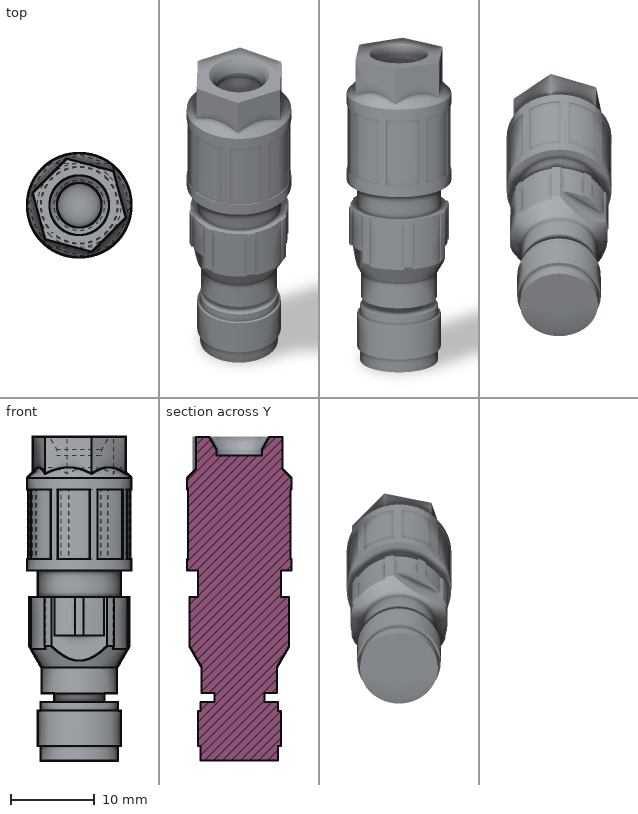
import cadquery as cq
import math

foot_top = 1.75
collar_top = 6.0
lip_top = 7.05
neck_top = 8.05
barrel_top = 11.15
block_bottom = 15.0
grip_top = 19.6
cap_bottom = 22.75
cap_shoulder = 33.83
total_height = 38.75

foot_radius = 4.65
collar_radius = 5.0
neck_radius = 3.02
barrel_radius = 4.55
grip_radius = 6.0
stem_radius = 5.0
cap_diameter = 12.5
cap_radius = cap_diameter / 2

flare_angle = 60.0
flat_distance = 5.0
grip_recess_radius = 5.8
grip_rib_angle = 9.8
side_recess_end = 46.4
block_width = 2 * math.sqrt(grip_recess_radius**2 - flat_distance**2)
grip_flare_top = barrel_top + (grip_radius - barrel_radius) * math.tan(math.radians(flare_angle))

pocket_count = 8
pocket_pitch = 360.0 / pocket_count
pocket_angle = 36.0
pocket_offset = -6.4
pocket_depth = 0.1
cap_band_height = 1.4
hex_across_flats = 10.0
hex_turn = 45.0
bore_radius = 2.67
bore_depth = 2.25
countersink_depth = 1.55
countersink_half_angle = 30.0
countersink_radius = bore_radius + countersink_depth * math.tan(math.radians(countersink_half_angle))

cut_margin = 0.4


def slab(width, depth, center_y, bottom, top):
    return (
        cq.Workplane("XY")
        .workplane(offset=bottom)
        .center(0, center_y)
        .rect(width, depth)
        .extrude(top - bottom)
    )


def ring_sector(inner_radius, start, end, bottom, top):
    """Cutter outside inner_radius, between two angles in degrees measured from +X."""
    outer_radius = cap_radius + cut_margin

    def point(radius, angle):
        turn = math.radians(angle)
        return (radius * math.cos(turn), radius * math.sin(turn))

    middle = (start + end) / 2
    return (
        cq.Workplane("XY")
        .workplane(offset=bottom)
        .moveTo(*point(inner_radius, start))
        .threePointArc(point(inner_radius, middle), point(inner_radius, end))
        .lineTo(*point(outer_radius, end))
        .threePointArc(point(outer_radius, middle), point(outer_radius, start))
        .close()
        .extrude(top - bottom)
    )


def revolve_profile(points):
    """Turn a closed outline of (radius, height) points about the Z axis."""
    return cq.Workplane("XZ").polyline(points).close().revolve(360, (0, 0), (0, 1))


def turned_body():
    cap_top = cap_shoulder + cap_radius - bore_radius
    profile = [
        (0, 0),
        (foot_radius, 0),
        (foot_radius, foot_top),
        (collar_radius, foot_top),
        (collar_radius, collar_top),
        (foot_radius, collar_top),
        (foot_radius, lip_top),
        (neck_radius, lip_top),
        (neck_radius, neck_top),
        (barrel_radius, neck_top),
        (barrel_radius, barrel_top),
        (grip_radius, grip_flare_top),
        (grip_radius, grip_top),
        (stem_radius, grip_top),
        (stem_radius, cap_bottom),
        (cap_radius, cap_bottom),
        (cap_radius, cap_shoulder),
        (bore_radius, cap_top),
        (0, cap_top),
    ]
    return revolve_profile(profile)


def cut_grip_flats(body):
    """Flat the front and back of the grip, leaving a raised block in the upper middle."""
    depth = grip_radius - flat_distance + cut_margin
    for side in (-1, 1):
        center_y = side * (flat_distance + depth / 2)
        flat = slab(2 * grip_radius, depth, center_y, barrel_top, grip_top)
        block = slab(block_width, depth, center_y, block_bottom, grip_top)
        body = body.cut(flat.cut(block))
    return body


def cut_grip_recesses(body):
    """Recess the four side quadrants and both halves of each block, leaving ribs between them."""
    half_rib = grip_rib_angle / 2
    block_edge = math.degrees(math.acos(flat_distance / grip_recess_radius))
    recess = ring_sector(grip_recess_radius, half_rib, side_recess_end, barrel_top, grip_top).union(
        ring_sector(grip_recess_radius, 90 - block_edge, 90 - half_rib, block_bottom, grip_top)
    )
    recess = recess.union(recess.mirror("YZ"))
    recess = recess.union(recess.mirror("XZ"))
    return body.cut(recess)


def cut_cap_pockets(body):
    for index in range(pocket_count):
        center = pocket_offset + index * pocket_pitch
        body = body.cut(ring_sector(
            cap_radius - pocket_depth,
            center - pocket_angle / 2,
            center + pocket_angle / 2,
            cap_bottom + cap_band_height,
            cap_shoulder - cap_band_height,
        ))
    return body


def add_hex_head(body):
    hex_diameter = hex_across_flats / math.cos(math.pi / 6)
    head = (
        cq.Workplane("XY")
        .workplane(offset=cap_bottom)
        .polygon(6, hex_diameter)
        .extrude(total_height - cap_bottom)
        .rotate((0, 0, 0), (0, 0, 1), hex_turn)
    )
    return body.union(head)


def cut_bore(body):
    bore_floor = total_height - bore_depth
    profile = [
        (0, bore_floor),
        (bore_radius, bore_floor),
        (bore_radius, total_height - countersink_depth),
        (countersink_radius, total_height),
        (0, total_height),
    ]
    return body.cut(revolve_profile(profile))


result = turned_body()
result = cut_grip_flats(result)
result = cut_grip_recesses(result)
result = cut_cap_pockets(result)
result = add_hex_head(result)
result = cut_bore(result)